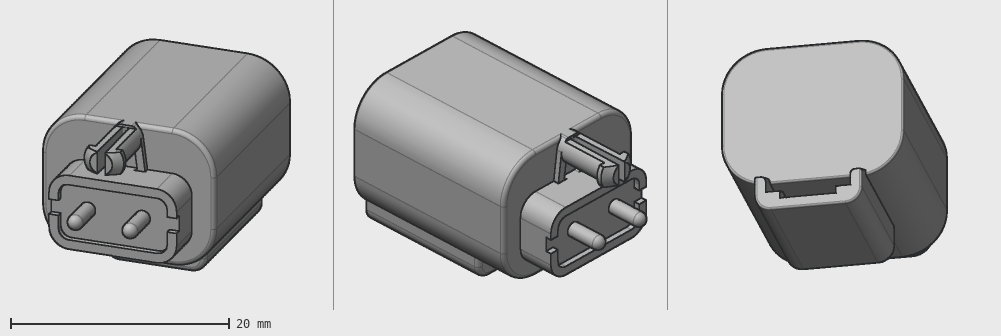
import cadquery as cq
import math


body_width = 17.05
body_height = 13.6
body_length = 19.18
body_corner = 4.23
body_front_fillet = 0.42
body_back_fillet = 0.2
body_top = body_height / 2

tower_width = 12.55
tower_height = 7.35
tower_length = 3.9
tower_corner = 1.97
tower_wall = 0.93
tower_z = -1.27
recess_depth = 0.62
notch_height = 1.5

pin_diameter = 1.5
pin_pitch = 5.4
pin_reach = 7.13
pin_z = -1.0

arm_radius = 1.5
arm_height = 2.2
arm_z = 5.45
arm_reach = 6.85
head_radius = 1.95
head_start = 5.58
head_rim = 0.5
head_tip_radius = 1.1
slot_root_width = 0.65
slot_tip_width = 0.8
slot_root_fillet = 0.2

plate_thickness = 0.6
plate_draft = 7.4
plate_leg = 0.75
plate_top_fillet = 0.42
window_corner = 0.28

clip_width = 10.05
clip_height = 3.4
clip_corner = 1.52
clip_front = 6.63
clip_back = 21.07
clip_front_fillet = 0.5
clip_back_fillet = 0.2
clip_bottom = -body_top - clip_height
clip_lip_z = -6.9
clip_lip_angle = 20.0
clip_wall = 1.05
clip_rim_fillet = 0.45
clip_ledge_width = 1.35
clip_ledge_depth = 1.13
clip_ramp_length = 1.18


def front_plane(y):
    """Work plane at the given y, with local x along X, local y along Z and its normal toward -Y."""
    return cq.Workplane("XZ", origin=(0, y, 0))


def block(width, y_start, y_end, z_start, z_end):
    """Box centred on x = 0 between the given y and z limits."""
    box = cq.Workplane("XY").box(width, y_end - y_start, z_end - z_start, centered=(True, False, False))
    return box.translate((0, y_start, z_start))


def make_body():
    body = front_plane(body_length).rect(body_width, body_height).extrude(body_length)
    body = body.edges("|Y").fillet(body_corner)
    body = body.faces("<Y").edges().fillet(body_front_fillet)
    return body.faces(">Y").edges().fillet(body_back_fillet)


def make_tower():
    tower = front_plane(0).center(0, tower_z).rect(tower_width, tower_height).extrude(tower_length)
    tower = tower.edges("|Y").fillet(tower_corner)
    floor_y = recess_depth - tower_length
    recess = front_plane(floor_y).center(0, tower_z)
    recess = recess.rect(tower_width - 2 * tower_wall, tower_height - 2 * tower_wall).extrude(recess_depth)
    recess = recess.edges("|Y").fillet(tower_corner - tower_wall)
    notches = front_plane(floor_y).center(0, pin_z).rect(tower_width, notch_height).extrude(recess_depth)
    return tower.cut(recess).cut(notches)


def make_pin(x):
    radius = pin_diameter / 2
    pin = front_plane(0).center(x, pin_z).circle(radius).extrude(pin_reach - radius)
    return pin.union(cq.Workplane("XY").sphere(radius).translate((x, radius - pin_reach, pin_z)))


def make_plate():
    """Round boss, cut flat at the body top, with two drafted legs tangent to it around a window."""
    draft = math.radians(plate_draft)
    tangent_x = arm_radius * math.cos(draft)
    tangent_z = arm_z + arm_radius * math.sin(draft)
    foot_z = tower_z + tower_height / 2
    foot_x = tangent_x + (tangent_z - foot_z) * math.tan(draft)

    legs = front_plane(0).polyline(
        [(-tangent_x, tangent_z), (tangent_x, tangent_z), (foot_x, foot_z), (-foot_x, foot_z)]
    ).close().extrude(plate_thickness)

    window_top = arm_z - arm_height / 2
    window_foot = foot_x - plate_leg
    window_head = window_foot - (window_top - foot_z) * math.tan(draft)
    window = front_plane(0).polyline(
        [(-window_head, window_top), (window_head, window_top), (window_foot, foot_z), (-window_foot, foot_z)]
    ).close().extrude(plate_thickness).edges("|Y").fillet(window_corner)

    boss = front_plane(body_front_fillet).center(0, arm_z).circle(arm_radius)
    boss = boss.extrude(body_front_fillet + plate_thickness)
    below_top = block(body_width, -plate_thickness, body_front_fillet, 0, body_top)
    boss = boss.intersect(below_top)
    boss = boss.edges("|Y and >Z").fillet(plate_top_fillet)
    return boss.union(legs).cut(window)


def make_arm():
    """Round arm with a barbed head, flattened above and below and split by a widening slot."""
    rim_end = head_start + head_rim
    arm = cq.Workplane("XY").polyline(
        [
            (0, 0),
            (arm_radius, 0),
            (arm_radius, -head_start),
            (head_radius, -head_start),
            (head_radius, -rim_end),
            (head_tip_radius, -arm_reach),
            (0, -arm_reach),
        ]
    ).close().revolve(360, (0, 0, 0), (0, 1, 0))
    arm = arm.intersect(block(2 * head_radius, -arm_reach, 0, -arm_height / 2, arm_height / 2))

    slot = cq.Workplane("XY").workplane(offset=-arm_height / 2).polyline(
        [
            (-slot_root_width / 2, -plate_thickness),
            (slot_root_width / 2, -plate_thickness),
            (slot_tip_width / 2, -arm_reach),
            (-slot_tip_width / 2, -arm_reach),
        ]
    ).close().extrude(arm_height)
    slot = slot.faces(">Y").edges("|Z").fillet(slot_root_fillet)
    return arm.cut(slot).translate((0, 0, arm_z))


def ramp_edges(solid, width):
    """The two edges that border the sloping top of the clip housing at the given width."""
    probe_y = (clip_back + body_length) / 2
    probe_z = clip_lip_z + (clip_back - probe_y) * math.tan(math.radians(clip_lip_angle))
    edges = solid.edges(cq.selectors.NearestToPointSelector((width / 2, probe_y, probe_z)))
    return edges.add(solid.edges(cq.selectors.NearestToPointSelector((-width / 2, probe_y, probe_z))))


def make_clip_block():
    """Solid clip housing, rounded below, whose top slopes down behind the body."""
    ramp = math.tan(math.radians(clip_lip_angle))
    ramp_start = body_length - body_back_fillet
    top_z = clip_lip_z + (clip_back - ramp_start) * ramp
    housing = cq.Workplane("YZ").polyline(
        [
            (clip_front, clip_bottom),
            (clip_back, clip_bottom),
            (clip_back, clip_lip_z),
            (ramp_start, top_z),
            (clip_front, top_z),
        ]
    ).close().extrude(clip_width / 2, both=True)
    housing = housing.edges("|Y and <Z").fillet(clip_corner)
    housing = housing.faces("<Y").edges("not >Z").fillet(clip_front_fillet)
    rim = housing.faces(">Y").edges("not >Z").add(ramp_edges(housing, clip_width))
    return housing.newObject(rim.vals()).fillet(clip_back_fillet)


def make_clip_channel():
    """Stepped cavity of the clip housing: a central channel between two ledges with ramped back ends."""
    inner_width = clip_width - 2 * clip_wall
    start_y = clip_front + clip_wall
    floor_z = clip_bottom + clip_wall
    ledge_z = floor_z + clip_ledge_depth
    ramp_drop = clip_ramp_length * math.tan(math.radians(clip_lip_angle))
    upper = cq.Workplane("YZ").polyline(
        [
            (start_y, ledge_z),
            (clip_back - clip_ramp_length, ledge_z),
            (clip_back, ledge_z - ramp_drop),
            (clip_back, 0),
            (start_y, 0),
        ]
    ).close().extrude(inner_width / 2, both=True)
    channel = block(inner_width - 2 * clip_ledge_width, start_y, clip_back, floor_z, 0)
    return upper.union(channel)


def make_clip_housing():
    """Clip housing with its cavity, the inner rim of the sloping wall tops rounded."""
    housing = make_clip_block().cut(make_clip_channel())
    inner_rim = ramp_edges(housing, clip_width - 2 * clip_wall)
    return housing.newObject(inner_rim.vals()).fillet(clip_rim_fillet)


result = make_body().union(make_clip_housing()).union(make_tower()).union(make_plate()).union(make_arm())
for side in (-1, 1):
    result = result.union(make_pin(side * pin_pitch / 2))